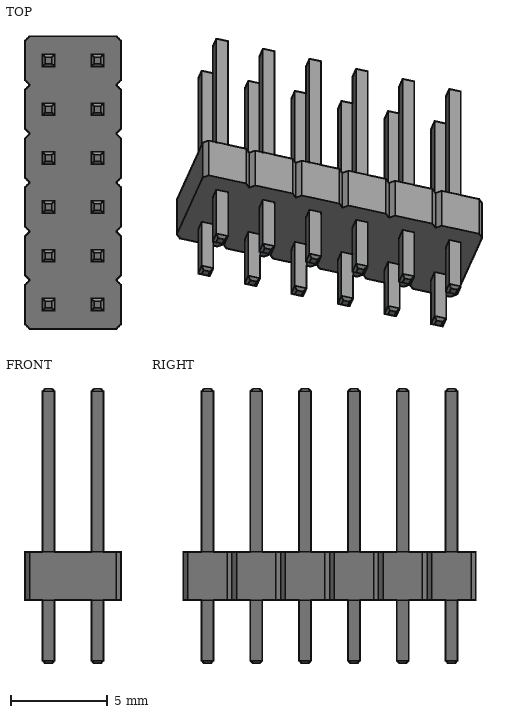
import cadquery as cq

PITCH = 2.54
COLUMNS = 2
ROWS = 6

BODY_WIDTH = 5.0
BODY_HEIGHT = 2.5
CORNER_BEVEL = 0.25

PIN_SIZE = 0.64
PIN_BELOW = 3.3
PIN_ABOVE = 8.5
PIN_LENGTH = PIN_BELOW + BODY_HEIGHT + PIN_ABOVE
TIP_BEVEL = 0.15


def make_cell(y_center):
    """One row of the body: a block with four beveled vertical edges."""
    cell = cq.Workplane("XY").rect(BODY_WIDTH, PITCH).extrude(BODY_HEIGHT)
    cell = cell.edges("|Z").chamfer(CORNER_BEVEL)
    return cell.translate((0, y_center, 0))


def make_pin(x_center, y_center):
    """A square pin with both tips beveled, standing through the body."""
    pin = cq.Workplane("XY").rect(PIN_SIZE, PIN_SIZE).extrude(PIN_LENGTH)
    pin = pin.faces("<Z or >Z").chamfer(TIP_BEVEL)
    return pin.translate((x_center, y_center, -PIN_BELOW))


def centered_positions(count):
    """Positions at the pin pitch, centered on zero."""
    return [(i - (count - 1) / 2) * PITCH for i in range(count)]


result = cq.Workplane("XY")
for y in centered_positions(ROWS):
    result = result.union(make_cell(y))
for y in centered_positions(ROWS):
    for x in centered_positions(COLUMNS):
        result = result.union(make_pin(x, y))
result = result.clean()